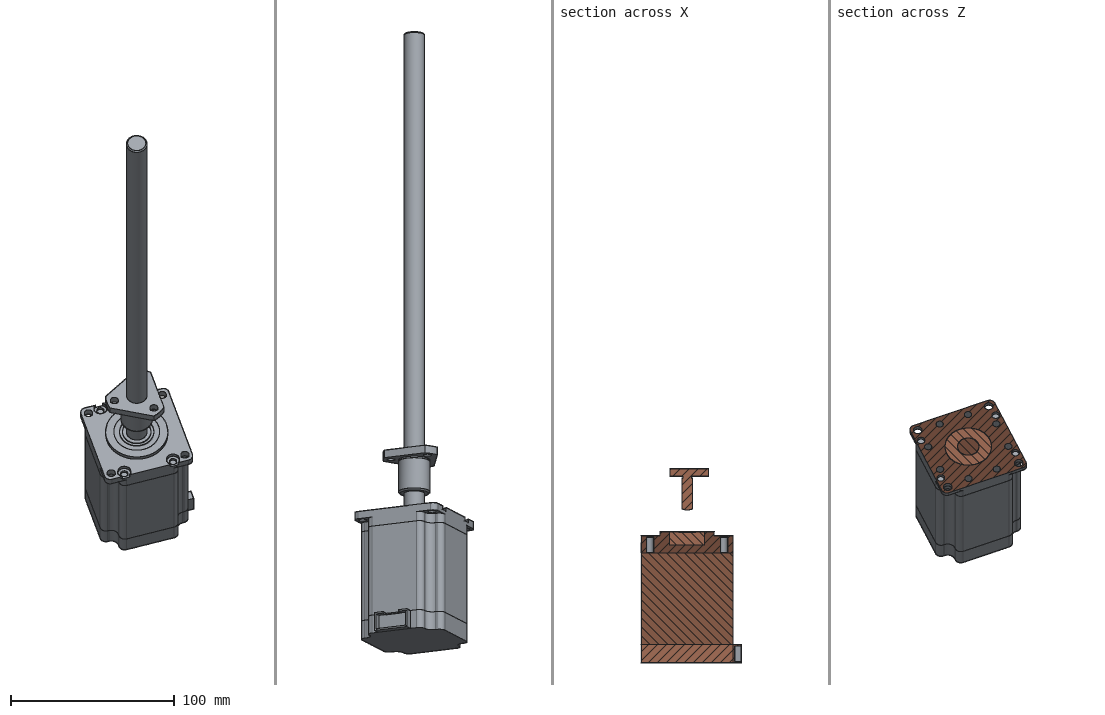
import cadquery as cq
import math

motor_width = 56.2
half_width = motor_width / 2
rear_height = 11.3
stator_top = 67.5
scallop_top = 73.3
motor_top = 77.9
overall_height = 383.3

mount_hole_spacing = 47.14
mount_hole_place = mount_hole_spacing / 2
mount_hole_diameter = 5.0
plate_corner_radius = 3.5
scallop_radius = 4.7
flat_half_width = 15.2
lobe_radius = 3.6

pilot_diameter = 38.1
pilot_height = 2.4
bearing_diameter = 28.0
bearing_height = 8.0
inner_race_diameter = 17.4
outer_race_diameter = 21.0
race_groove_depth = 0.5

blind_hole_count = 8
blind_hole_circle = 49.0
blind_hole_diameter = 4.2
blind_hole_cap = 1.15

edge_recess_x = 24.8
edge_recess_y = 15.6
edge_recess_diameter = 8.0
edge_recess_depth = 2.3
edge_hole_diameter = 4.5
edge_hole_depth = 4.0

connector_width = 22.0
connector_depth = 5.0
connector_slot_width = 10.5
connector_wall = 1.0

screw_diameter = 12.7
screw_chamfer = 0.8

nut_bottom = 93.0
nut_top = 118.9
nut_flange_thickness = 4.8
nut_flange_diameter = 38.2
nut_flat_distance = 13.2
nut_barrel_diameter = 19.5
nut_barrel_chamfer = 1.0
nut_relief_depth = 0.2
nut_relief_height = 1.0
nut_hole_circle = 28.6
nut_hole_diameter = 4.8

pilot_top = motor_top + pilot_height


def scalloped_block(bottom, top):
    """Square block whose corners are hollowed around the mounting screws, between rounded lobes."""
    inner = mount_hole_place - scallop_radius
    lobe_center = half_width - lobe_radius
    lobe_reach = inner - flat_half_width
    diagonal = math.sqrt(0.5)
    scallop_mid = mount_hole_place - scallop_radius * diagonal
    lobe_mid_x = flat_half_width + lobe_reach * diagonal
    lobe_mid_y = lobe_center + lobe_radius * diagonal

    def turned(x, y, turn):
        """The point turned about the axis by a number of quarter turns."""
        for _ in range(turn):
            x, y = -y, x
        return x, y

    outline = cq.Workplane("XY").workplane(offset=bottom).moveTo(half_width, -flat_half_width)
    for turn in range(4):
        outline = (
            outline.lineTo(*turned(half_width, flat_half_width, turn))
            .threePointArc(turned(lobe_mid_y, lobe_mid_x, turn), turned(lobe_center, inner, turn))
            .lineTo(*turned(mount_hole_place, inner, turn))
            .threePointArc(turned(scallop_mid, scallop_mid, turn), turned(inner, mount_hole_place, turn))
            .lineTo(*turned(inner, lobe_center, turn))
            .threePointArc(turned(lobe_mid_x, lobe_mid_y, turn), turned(flat_half_width, half_width, turn))
        )
    return outline.close().extrude(top - bottom)


def make_front_cover():
    """Square mounting plate with a round pilot, on a short scalloped block."""
    plate = (
        cq.Workplane("XY")
        .workplane(offset=scallop_top)
        .rect(motor_width, motor_width)
        .extrude(motor_top - scallop_top)
        .edges("|Z")
        .fillet(plate_corner_radius)
    )
    pilot = cq.Workplane("XY").workplane(offset=motor_top).circle(pilot_diameter / 2).extrude(pilot_height)
    cover = scalloped_block(stator_top, scallop_top).union(plate).union(pilot)

    face = cq.Workplane("XY").workplane(offset=motor_top)
    mount_holes = face.rect(mount_hole_spacing, mount_hole_spacing, forConstruction=True).vertices()
    cover = cover.cut(mount_holes.circle(mount_hole_diameter / 2).extrude(scallop_top - motor_top))

    half_step = 180 / blind_hole_count
    underside = cq.Workplane("XY").workplane(offset=stator_top)
    blind_holes = underside.polarArray(blind_hole_circle / 2, half_step, 360, blind_hole_count)
    blind_depth = motor_top - stator_top - blind_hole_cap
    cover = cover.cut(blind_holes.circle(blind_hole_diameter / 2).extrude(blind_depth))

    recesses = face.rect(2 * edge_recess_x, 2 * edge_recess_y, forConstruction=True).vertices()
    cover = cover.cut(recesses.circle(edge_recess_diameter / 2).extrude(-edge_recess_depth))
    cover = cover.cut(recesses.circle(edge_hole_diameter / 2).extrude(-edge_hole_depth))

    seat = cq.Workplane("XY").workplane(offset=pilot_top)
    cover = cover.cut(seat.circle(bearing_diameter / 2).extrude(-bearing_height))
    return cover.cut(seat.circle(screw_diameter / 2).extrude(stator_top - pilot_top))


def make_bearing():
    """Ring flush with the pilot, with a shallow groove between its inner and outer races."""
    top = cq.Workplane("XY").workplane(offset=pilot_top)
    ring = top.circle(bearing_diameter / 2).circle(screw_diameter / 2).extrude(-bearing_height)
    groove = top.circle(outer_race_diameter / 2).circle(inner_race_diameter / 2).extrude(-race_groove_depth)
    return ring.cut(groove)


def make_connector():
    """Socket shell open toward +Y, with a keying slot through its top wall."""
    shell = (
        cq.Workplane("XY")
        .box(connector_width, connector_depth, rear_height, centered=(True, False, False))
        .translate((0, half_width, 0))
    )
    cavity = (
        cq.Workplane("XY")
        .box(
            connector_width - 2 * connector_wall,
            connector_depth - connector_wall,
            rear_height - 2 * connector_wall,
            centered=(True, False, False),
        )
        .translate((0, half_width + connector_wall, connector_wall))
    )
    slot = (
        cq.Workplane("XY")
        .box(connector_slot_width, connector_depth, connector_wall, centered=(True, False, False))
        .translate((0, half_width, rear_height - connector_wall))
    )
    return shell.cut(cavity).cut(slot)


def make_screw():
    """Plain round lead screw that stands on the stator."""
    return (
        cq.Workplane("XY")
        .workplane(offset=stator_top)
        .circle(screw_diameter / 2)
        .extrude(overall_height - stator_top)
        .faces(">Z")
        .chamfer(screw_chamfer)
    )


def make_nut():
    """Nut with a three-sided flange, rounded at its corners, above a round barrel."""
    top = cq.Workplane("XY").workplane(offset=nut_top)
    flange = top.circle(nut_flange_diameter / 2).extrude(-nut_flange_thickness)
    triangle = top.transformed(rotate=(0, 0, -90)).polygon(3, 4 * nut_flat_distance)
    flange = flange.intersect(triangle.extrude(-nut_flange_thickness))
    barrel = (
        cq.Workplane("XY")
        .workplane(offset=nut_bottom)
        .circle(nut_barrel_diameter / 2)
        .extrude(nut_top - nut_bottom)
        .faces("<Z")
        .chamfer(nut_barrel_chamfer)
    )
    flange_bottom = cq.Workplane("XY").workplane(offset=nut_top - nut_flange_thickness)
    relief = flange_bottom.circle(nut_barrel_diameter / 2).circle(nut_barrel_diameter / 2 - nut_relief_depth)
    barrel = barrel.cut(relief.extrude(-nut_relief_height))
    holes = top.polarArray(nut_hole_circle / 2, -90, 360, 3).circle(nut_hole_diameter / 2)
    nut = flange.union(barrel).cut(holes.extrude(-nut_flange_thickness))
    return nut.cut(top.circle(screw_diameter / 2).extrude(nut_bottom - nut_top))


rear_cover = scalloped_block(0, rear_height)
stator = scalloped_block(rear_height, stator_top)
front_cover = make_front_cover()
bearing = make_bearing()
connector = make_connector()
screw = make_screw()
nut = make_nut()

bodies = [rear_cover, stator, front_cover, bearing, connector, screw, nut]
result = cq.Compound.makeCompound([body.val() for body in bodies])